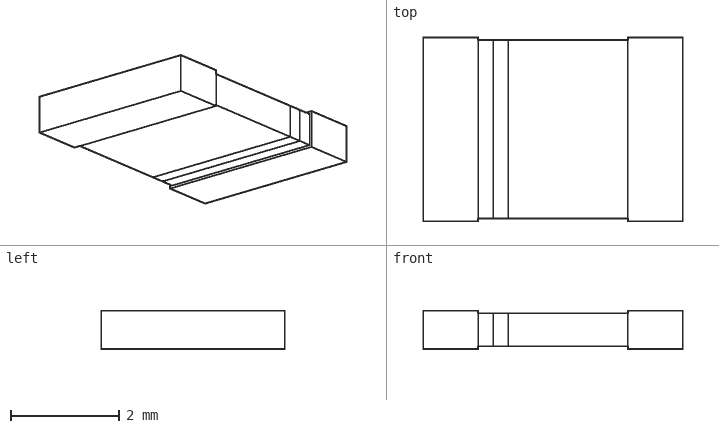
import cadquery as cq

length = 4.8
width = 3.4
height = 0.71

cap_length = 1.02
cap_step = 0.05

band_gap = 0.28
band_width = 0.28
band_depth = 0.05

body_length = length - 2 * cap_length
body_width = width - 2 * cap_step
body_height = height - 2 * cap_step
cap_center_x = (length - cap_length) / 2
band_center_x = -body_length / 2 + band_gap + band_width / 2


def make_end_cap(center_x):
    """Plain block at one end of the part."""
    return cq.Workplane("XY").box(cap_length, width, height).translate((center_x, 0, 0))


def make_band():
    """Rectangular ring whose outside is flush with the body."""
    outer = cq.Workplane("XY").box(band_width, body_width, body_height)
    core = cq.Workplane("XY").box(
        band_width, body_width - 2 * band_depth, body_height - 2 * band_depth
    )
    return outer.cut(core).translate((band_center_x, 0, 0))


def make_body(band):
    """Block between the caps, grooved to hold the band."""
    return cq.Workplane("XY").box(body_length, body_width, body_height).cut(band)


end_caps = [make_end_cap(side * cap_center_x) for side in (-1, 1)]
band = make_band()
body = make_body(band)

result = cq.Compound.makeCompound([body.val(), band.val(), *[cap.val() for cap in end_caps]])